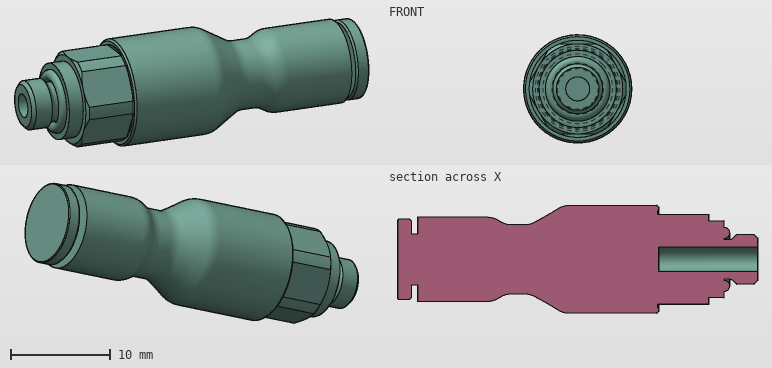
import cadquery as cq
import math


THREAD_RADIUS = 2.5
THREAD_END = 2.12
THREAD_CHAMFER = 0.36
BORE_RADIUS = 1.2
NECK_RADIUS = 2.02
NECK_FILLET = 0.5
NECK_TAPER = math.radians(45)

COLLAR_RADIUS = 3.87
COLLAR_FACE = 3.37
SEAL_SECTION_RADIUS = 0.58
SEAL_OUTER_RADIUS = 3.24

HEX_SIDES = 6
HEX_START = 4.89
HEX_ACROSS_FLATS = 9.0
HEX_CORNER_RADIUS = 4.86
HEX_CHAMFER_HEIGHT = 0.25
HEX_CHAMFER_WIDTH = 0.35

SLEEVE_START = 9.9
SLEEVE_RADIUS = 5.425
SLEEVE_CHAMFER = 0.2
RECESS_DEPTH = 0.1
SLEEVE_STRAIGHT_END = 18.89

WAIST_RADIUS = 3.5
WAIST_LENGTH = 1.4
BEND_RADIUS = 2.0
SHOULDER_ANGLE = math.radians(30)

SOCKET_RADIUS = 4.25
SOCKET_END = 34.04
RING_NECK_RADIUS = 2.58
RING_RADIUS = 4.05
RING_START = 34.64
RING_CHAMFER = 0.2
RING_RIM_CHAMFER = 0.1
OVERALL_LENGTH = 36.04


def revolve(outline):
    """Turn a closed (radius, Y) outline about the Y axis."""
    return outline.close().revolve(360, (0, 0, 0), (0, 1, 0))


def shoulder_length(radius_change):
    """Axial length of a shoulder: two tangent bends joined by a cone."""
    bend_rise = BEND_RADIUS * (1 - math.cos(SHOULDER_ANGLE))
    cone_rise = radius_change - 2 * bend_rise
    return 2 * BEND_RADIUS * math.sin(SHOULDER_ANGLE) + cone_rise / math.tan(SHOULDER_ANGLE)


def add_shoulder(outline, start_radius, start_y, end_radius):
    """Extend the outline toward +Y with a bend, a cone and an opposite bend."""
    direction = math.copysign(1, end_radius - start_radius)
    end_y = start_y + shoulder_length(abs(end_radius - start_radius))

    def bend_offset(angle):
        rise = direction * BEND_RADIUS * (1 - math.cos(angle))
        return rise, BEND_RADIUS * math.sin(angle)

    half_rise, half_run = bend_offset(SHOULDER_ANGLE / 2)
    rise, run = bend_offset(SHOULDER_ANGLE)
    return (
        outline
        .threePointArc(
            (start_radius + half_rise, start_y + half_run),
            (start_radius + rise, start_y + run),
        )
        .lineTo(end_radius - rise, end_y - run)
        .threePointArc((end_radius - half_rise, end_y - half_run), (end_radius, end_y))
    )


def make_stud():
    """Threaded stud, undercut neck, seal ring and collar."""
    tip_radius = THREAD_RADIUS - THREAD_CHAMFER
    fillet_radius = NECK_RADIUS + NECK_FILLET * (1 - math.cos(NECK_TAPER))
    fillet_start = THREAD_END + (THREAD_RADIUS - fillet_radius) / math.tan(NECK_TAPER)
    fillet_end = fillet_start + NECK_FILLET * math.sin(NECK_TAPER)
    fillet_middle = (
        NECK_RADIUS + NECK_FILLET * (1 - math.cos(NECK_TAPER / 2)),
        fillet_end - NECK_FILLET * math.sin(NECK_TAPER / 2),
    )
    seal_centre = SEAL_OUTER_RADIUS - SEAL_SECTION_RADIUS
    outline = (
        cq.Workplane("XY")
        .moveTo(0, 0)
        .lineTo(tip_radius, 0)
        .lineTo(THREAD_RADIUS, THREAD_CHAMFER)
        .lineTo(THREAD_RADIUS, THREAD_END)
        .lineTo(fillet_radius, fillet_start)
        .threePointArc(fillet_middle, (NECK_RADIUS, fillet_end))
        .lineTo(NECK_RADIUS, COLLAR_FACE)
        .lineTo(seal_centre - SEAL_SECTION_RADIUS, COLLAR_FACE)
        .threePointArc((seal_centre, COLLAR_FACE - SEAL_SECTION_RADIUS), (SEAL_OUTER_RADIUS, COLLAR_FACE))
        .lineTo(COLLAR_RADIUS, COLLAR_FACE)
        .lineTo(COLLAR_RADIUS, HEX_START)
        .lineTo(0, HEX_START)
    )
    return revolve(outline)


def make_hexagon():
    """Hexagon with two flats facing +Z and -Z, turned to a round envelope."""
    hex_end = SLEEVE_START + RECESS_DEPTH
    across_corners = HEX_ACROSS_FLATS / math.cos(math.pi / HEX_SIDES)
    prism = (
        cq.Workplane("XZ", origin=(0, HEX_START, 0))
        .polygon(HEX_SIDES, across_corners)
        .extrude(HEX_START - hex_end)
    )
    envelope = (
        cq.Workplane("XY")
        .moveTo(0, HEX_START)
        .lineTo(HEX_CORNER_RADIUS - HEX_CHAMFER_WIDTH, HEX_START)
        .lineTo(HEX_CORNER_RADIUS, HEX_START + HEX_CHAMFER_HEIGHT)
        .lineTo(HEX_CORNER_RADIUS, hex_end)
        .lineTo(0, hex_end)
    )
    return prism.intersect(revolve(envelope))


def make_body():
    """Valve sleeve, waist, tube socket and release ring."""
    recess_floor = SLEEVE_START + RECESS_DEPTH
    waist_start = SLEEVE_STRAIGHT_END + shoulder_length(SLEEVE_RADIUS - WAIST_RADIUS)
    waist_end = waist_start + WAIST_LENGTH
    outline = (
        cq.Workplane("XY")
        .moveTo(0, recess_floor)
        .lineTo(HEX_CORNER_RADIUS, recess_floor)
        .lineTo(HEX_CORNER_RADIUS, SLEEVE_START)
        .lineTo(SLEEVE_RADIUS - SLEEVE_CHAMFER, SLEEVE_START)
        .lineTo(SLEEVE_RADIUS, SLEEVE_START + SLEEVE_CHAMFER)
        .lineTo(SLEEVE_RADIUS, SLEEVE_STRAIGHT_END)
    )
    outline = add_shoulder(outline, SLEEVE_RADIUS, SLEEVE_STRAIGHT_END, WAIST_RADIUS)
    outline = outline.lineTo(WAIST_RADIUS, waist_end)
    outline = add_shoulder(outline, WAIST_RADIUS, waist_end, SOCKET_RADIUS)
    outline = (
        outline
        .lineTo(SOCKET_RADIUS, SOCKET_END)
        .lineTo(RING_NECK_RADIUS, SOCKET_END)
        .lineTo(RING_NECK_RADIUS, RING_START)
        .lineTo(RING_RADIUS - RING_CHAMFER, RING_START)
        .lineTo(RING_RADIUS, RING_START + RING_CHAMFER)
        .lineTo(RING_RADIUS, OVERALL_LENGTH - RING_RIM_CHAMFER)
        .lineTo(RING_RADIUS - RING_RIM_CHAMFER, OVERALL_LENGTH)
        .lineTo(0, OVERALL_LENGTH)
    )
    return revolve(outline)


def make_bore():
    """Blind flow bore from the stud tip to the plane of the sleeve face."""
    return cq.Workplane("XZ").circle(BORE_RADIUS).extrude(-SLEEVE_START)


result = make_stud().union(make_hexagon()).union(make_body()).cut(make_bore())